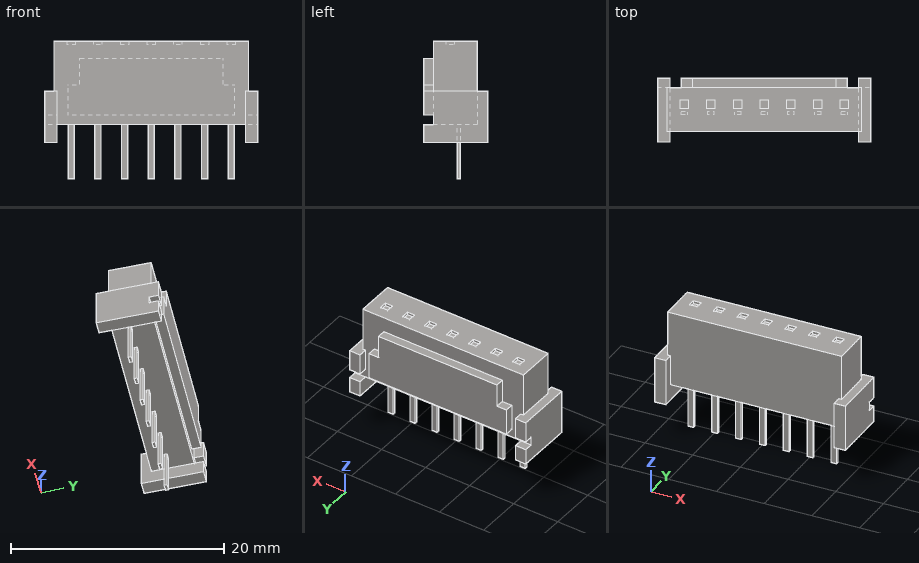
import cadquery as cq

LENGTH = 20.0
DEPTH = 6.0
HEIGHT = 12.9

BODY_LENGTH = 18.25
BODY_HEIGHT = 7.82
BACK_SETBACK = 0.9
FRONT_SETBACK = 0.98

PLATE_THICKNESS = 1.18
PLATE_HEIGHT = 4.82
PLATE_DROP = 4.68
NOTCH_HEIGHT = 0.9

RAIL_LENGTH = 15.6
RAIL_TOP_LENGTH = 13.45
RAIL_DROP = 1.62
RAIL_STEP_DROP = 4.1

CONTACT_COUNT = 7
PITCH = 2.5
PIN_WIDTH = 0.6
PIN_THICKNESS = 0.3
PIN_FROM_BACK = 3.28
SOCKET_WIDTH = 0.8
SOCKET_DEPTH = 0.3
SOCKET_FROM_BACK = 2.48

body_bottom = HEIGHT - BODY_HEIGHT
body_back = DEPTH - BACK_SETBACK
plate_top = HEIGHT - PLATE_DROP
notch_top = body_bottom + NOTCH_HEIGHT
contact_xs = [(i - (CONTACT_COUNT - 1) / 2) * PITCH for i in range(CONTACT_COUNT)]


def block(x_center, size_x, y_range, z_range):
    """Box centred on x_center that fills the given Y and Z ranges."""
    y_min, y_max = y_range
    z_min, z_max = z_range
    box = cq.Workplane("XY").box(size_x, y_max - y_min, z_max - z_min, centered=(True, False, False))
    return box.translate((x_center, y_min, z_min))


def centered_range(center, size):
    return center - size / 2, center + size / 2


def end_plate(side):
    """End plate on the -X (side = -1) or +X (side = 1) end, notched at the back edge."""
    x = side * (LENGTH - PLATE_THICKNESS) / 2
    plate = block(x, PLATE_THICKNESS, (0, DEPTH), (plate_top - PLATE_HEIGHT, plate_top))
    notch = block(x, PLATE_THICKNESS, (body_back, DEPTH), (body_bottom, notch_top))
    return plate.cut(notch)


def back_rail():
    """Rail whose upper part is shorter, leaving a shoulder at each end."""
    y_range = (body_back, DEPTH)
    shoulder = HEIGHT - RAIL_STEP_DROP
    lower = block(0, RAIL_LENGTH, y_range, (notch_top, shoulder))
    upper = block(0, RAIL_TOP_LENGTH, y_range, (shoulder, HEIGHT - RAIL_DROP))
    return lower.union(upper)


def pin(x):
    y_range = centered_range(DEPTH - PIN_FROM_BACK, PIN_THICKNESS)
    return block(x, PIN_WIDTH, y_range, (0, body_bottom))


def socket(x):
    y_range = centered_range(DEPTH - SOCKET_FROM_BACK, SOCKET_WIDTH)
    return block(x, SOCKET_WIDTH, y_range, (HEIGHT - SOCKET_DEPTH, HEIGHT))


result = block(0, BODY_LENGTH, (FRONT_SETBACK, body_back), (body_bottom, HEIGHT))
result = result.union(back_rail())
for side in (-1, 1):
    result = result.union(end_plate(side))
for x in contact_xs:
    result = result.union(pin(x)).cut(socket(x))